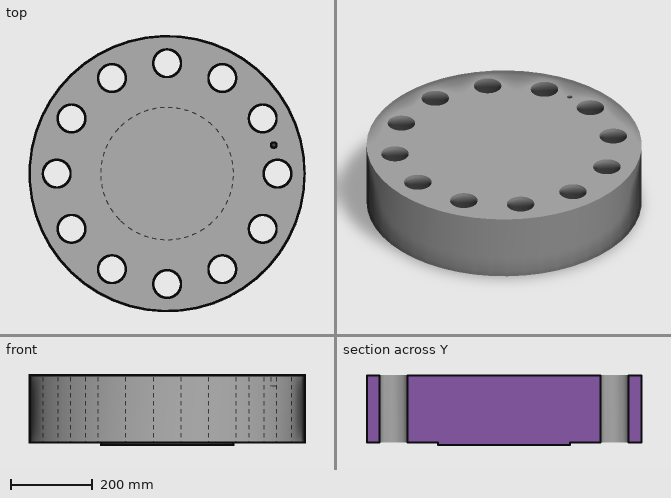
import cadquery as cq

disc_diameter = 673.0
total_height = 171.5
face_height = 6.4
disc_height = total_height - face_height

face_diameter = 324.5

bolt_count = 12
bolt_spacing = 360 / bolt_count
bolt_circle_radius = 270.0
bolt_hole_diameter = 67.0

pin_angle = bolt_spacing / 2
pin_hole_diameter = 13.5
pin_hole_depth = 27.0


def make_blank():
    """Disc standing on its raised face, whose underside lies at Z = 0."""
    face = cq.Workplane("XY").circle(face_diameter / 2).extrude(face_height)
    disc = (
        cq.Workplane("XY")
        .workplane(offset=face_height)
        .circle(disc_diameter / 2)
        .extrude(disc_height)
    )
    return disc.union(face)


def make_bolt_holes():
    """Cutters for the ring of through holes."""
    return (
        cq.Workplane("XY")
        .polarArray(bolt_circle_radius, 0, 360, bolt_count)
        .circle(bolt_hole_diameter / 2)
        .extrude(total_height)
    )


def make_pin_hole():
    """Cutter for the blind hole in the top face."""
    return (
        cq.Workplane("XY")
        .workplane(offset=total_height)
        .polarArray(bolt_circle_radius, pin_angle, 360, 1)
        .circle(pin_hole_diameter / 2)
        .extrude(-pin_hole_depth)
    )


result = make_blank().cut(make_bolt_holes()).cut(make_pin_hole())